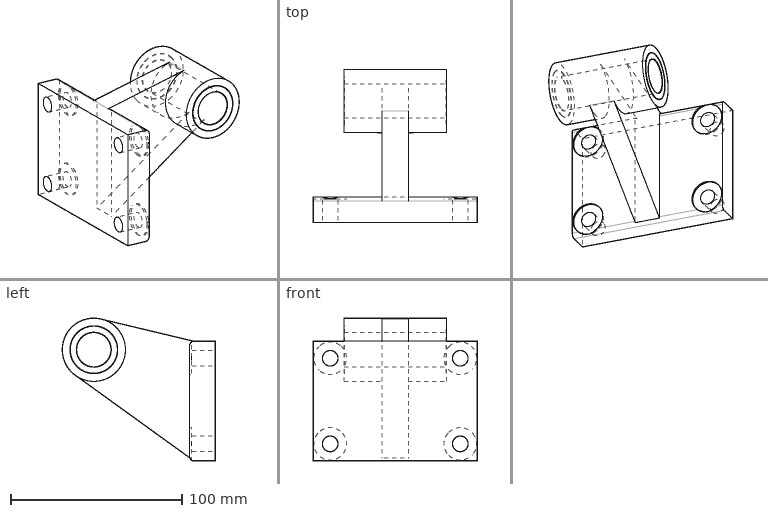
import cadquery as cq
import math

plate_width = 96.0
plate_height = 70.0
plate_thickness = 15.0
plate_edge_radius = 2.5

hole_diameter = 9.0
hole_inset = 10.0
spot_face_diameter = 19.0
spot_face_depth = 1.2

boss_diameter = 37.0
boss_length = 60.0
boss_y = 71.0
boss_z = 65.0

bore_diameter = 20.0
bushing_diameter = 28.0
bushing_chamfer = 0.25

web_thickness = 15.5
web_boss_inset = 0.06
web_tangent_radius = boss_diameter / 2 - web_boss_inset


def make_plate():
    plate = cq.Workplane("XY").box(
        plate_width, plate_thickness, plate_height, centered=(True, False, False)
    )
    return plate.edges("|X and >Y").fillet(plate_edge_radius)


def web_tangent_point(start_y, start_z, side):
    """Point where a web edge from the start touches its circle; side is +1 above, -1 below."""
    run = boss_y - start_y
    rise = boss_z - start_z
    distance = math.hypot(run, rise)
    angle_at_boss = math.acos(web_tangent_radius / distance)
    angle = math.atan2(-rise, -run) - side * angle_at_boss
    return (
        boss_y + web_tangent_radius * math.cos(angle),
        boss_z + web_tangent_radius * math.sin(angle),
    )


def make_web():
    """Web whose edges run from the start of the plate rounding, tangent to a circle in the boss."""
    root_y = plate_thickness - plate_edge_radius
    outline = [
        (root_y, 0),
        (root_y, plate_height),
        web_tangent_point(root_y, plate_height, 1),
        (boss_y, boss_z),
        web_tangent_point(root_y, 0, -1),
    ]
    web_side = cq.Workplane("YZ", origin=(-web_thickness / 2, 0, 0))
    return web_side.polyline(outline).close().extrude(web_thickness)


def boss_cylinder(diameter):
    return (
        cq.Workplane("YZ", origin=(-boss_length / 2, boss_y, boss_z))
        .circle(diameter / 2)
        .extrude(boss_length)
    )


def make_screw_holes():
    hole_x = plate_width / 2 - hole_inset
    centres = [
        (x, z)
        for x in (-hole_x, hole_x)
        for z in (hole_inset, plate_height - hole_inset)
    ]
    rear_face = cq.Workplane("XZ", origin=(0, plate_thickness, 0)).pushPoints(centres)
    holes = rear_face.circle(hole_diameter / 2).extrude(plate_thickness)
    spot_faces = rear_face.circle(spot_face_diameter / 2).extrude(spot_face_depth)
    return holes.union(spot_faces)


def make_bushing():
    """Bushing with a small chamfer on the inner and outer rims of both ends."""
    bushing = boss_cylinder(bushing_diameter).cut(boss_cylinder(bore_diameter))
    return bushing.faces("<X or >X").edges().chamfer(bushing_chamfer)


body = make_plate().union(make_web()).union(boss_cylinder(boss_diameter))
body = body.cut(boss_cylinder(bushing_diameter)).cut(make_screw_holes())
result = body.union(make_bushing())